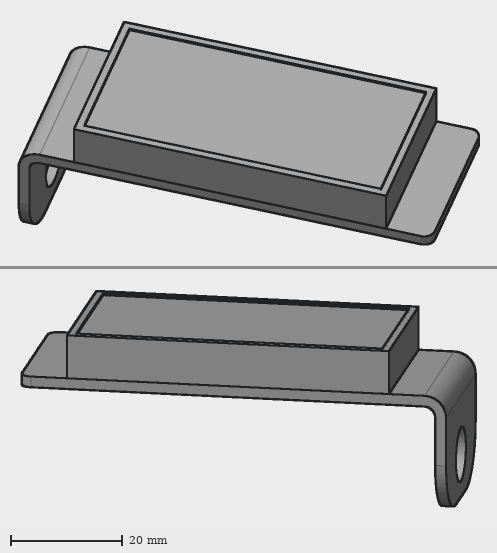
import cadquery as cq

length = 78.0
width = 30.0
overall_height = 31.0
thickness = 2.0
bend_radius = 4.0
plate_corner_radius = 2.0
tab_corner_radius = 10.0
hole_diameter = 10.0
hole_above_tab_end = 8.0

block_length = 59.0
block_height = 8.0
block_start = 10.45
rim_width = 1.5
recess_depth = 0.3

tab_drop = overall_height - block_height


def make_bracket():
    """L-shaped sheet bracket with rounded ends and a hole in its tab."""
    plate = cq.Workplane("XY").box(length, width, thickness, centered=(False, True, False))
    plate = plate.translate((0, 0, -thickness))
    tab = cq.Workplane("XY").box(thickness, width, tab_drop, centered=(False, True, False))
    tab = tab.translate((0, 0, -tab_drop))
    bracket = plate.union(tab)

    inner_corner = cq.selectors.NearestToPointSelector((thickness, 0, -thickness))
    bracket = bracket.edges(inner_corner).fillet(bend_radius - thickness)
    outer_corner = cq.selectors.NearestToPointSelector((0, 0, 0))
    bracket = bracket.edges(outer_corner).fillet(bend_radius)

    bracket = bracket.faces(">X").edges("|Z").fillet(plate_corner_radius)
    bracket = bracket.faces("<Z").edges("|X").fillet(tab_corner_radius)

    hole = (
        cq.Workplane("YZ")
        .center(0, hole_above_tab_end - tab_drop)
        .circle(hole_diameter / 2)
        .extrude(thickness)
    )
    return bracket.cut(hole)


def make_block():
    """Rectangular block with a rim around its recessed top."""
    block = cq.Workplane("XY").box(block_length, width, block_height, centered=(False, True, False))
    block = (
        block.faces(">Z")
        .workplane(centerOption="CenterOfMass")
        .rect(block_length - 2 * rim_width, width - 2 * rim_width)
        .cutBlind(-recess_depth)
    )
    return block.translate((block_start, 0, 0))


bracket = make_bracket()
block = make_block()
result = cq.Compound.makeCompound([bracket.solids().val(), block.solids().val()])